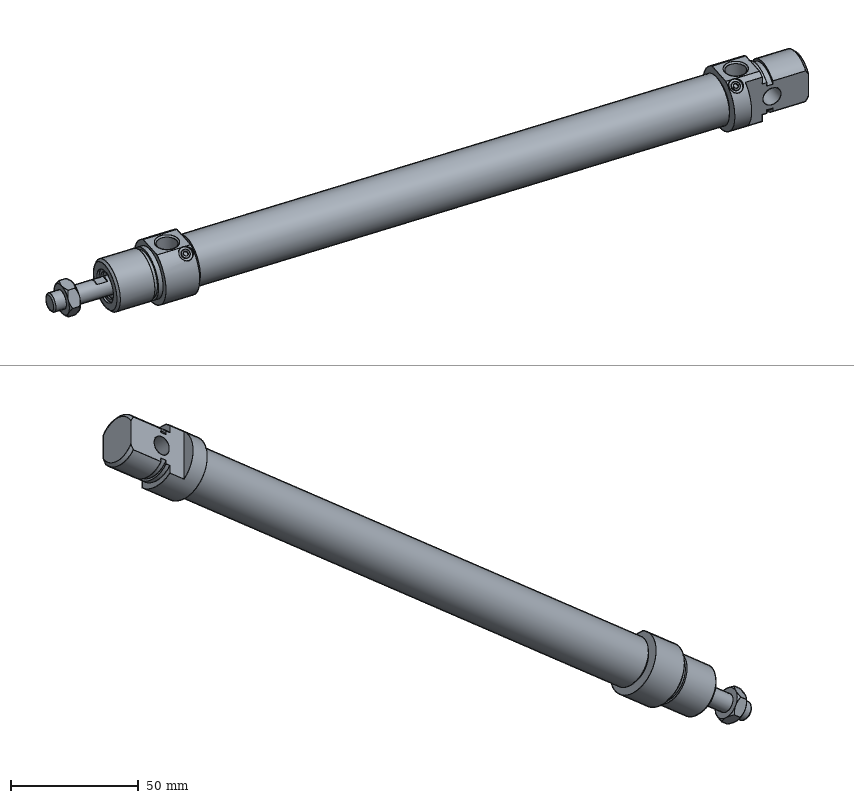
import cadquery as cq
import math


overall_length = 331.2
nut_start = 5.3
nut_thickness = 5.0
wrench_flat_start = 20.0
front_face = 24.5
front_groove_start = 40.7
front_groove_end = 42.5
front_collar_start = 44.5
collar_length = 15.0
front_neck_length = 1.5
rear_neck_length = 1.0
rear_collar_end = 310.5
rear_groove_start = 312.5
rear_groove_end = 315.3
cross_hole_station = 315.0

front_collar_end = front_collar_start + collar_length
barrel_start = front_collar_end + front_neck_length
rear_collar_start = rear_collar_end - collar_length
barrel_end = rear_collar_start - rear_neck_length
front_port_station = front_collar_start + collar_length / 2
rear_port_station = rear_collar_end - collar_length / 2

barrel_diameter = 21.5
thread_diameter = 22.0
groove_diameter = 20.0
neck_diameter = 18.0
collar_diameter = 26.8
front_chamfer = 1.0
rear_chamfer = 1.3

outer_height = 25.5
port_flat_height = outer_height - collar_diameter / 2
port_diameter = 8.5
port_mouth_diameter = 10.0
cavity_diameter = 12.0
front_cavity_start = 49.7
rear_cavity_margin = 0.5

clevis_width = 16.2
cross_hole_diameter = 8.0

rod_diameter = 8.0
rod_sleeve_diameter = 10.0
rod_sleeve_start = 50.7
rod_tip_chamfer = 0.5
rod_wrench_width = 7.0
rod_recess_diameter = 14.0
rod_recess_depth = 1.0
wiper_seat_diameter = 11.3
wiper_seat_depth = 2.0
nut_width_across_flats = 13.0
nut_chamfer = 1.0

screw_tilt = 38.0
screw_inset = 3.3
screw_recess_diameter = 6.0
screw_recess_depth = 1.0
screw_head_diameter = 3.5
screw_head_gap = 0.3
screw_socket_diameter = 2.0


def cylinder(diameter, start, end):
    """Solid cylinder on the Y axis between two stations."""
    return cq.Workplane("XZ", origin=(0, start, 0)).circle(diameter / 2).extrude(start - end)


def cut_port(cap, station):
    """Flat on top of the collar with a port drilled to the axis and countersunk at 45 degrees."""
    flat = cq.Workplane("XY").box(
        collar_diameter, collar_length, collar_diameter, centered=(True, True, False)
    ).translate((0, station, port_flat_height))
    port = cq.Workplane("XY", origin=(0, station, 0)).circle(port_diameter / 2).extrude(collar_diameter)
    mouth_depth = (port_mouth_diameter - port_diameter) / 2
    countersink = (
        cq.Workplane("XY", origin=(0, station, port_flat_height))
        .circle(port_mouth_diameter / 2)
        .extrude(-mouth_depth, taper=45)
    )
    return cap.cut(flat).cut(port).cut(countersink)


def cut_adjusting_screw(cap, station):
    """Ring-shaped recess around a cushioning screw head, tilted beside the port."""
    tilt = math.radians(screw_tilt)
    outward = (math.sin(tilt), 0, math.cos(tilt))
    floor_radius = collar_diameter / 2 - screw_recess_depth
    floor = cq.Plane(
        origin=(floor_radius * outward[0], station, floor_radius * outward[2]),
        xDir=(0, 1, 0),
        normal=outward,
    )
    head_height = screw_recess_depth - screw_head_gap
    recess = cq.Workplane(floor).circle(screw_recess_diameter / 2).extrude(2 * screw_recess_depth)
    head = (
        cq.Workplane(floor)
        .circle(screw_head_diameter / 2)
        .circle(screw_socket_diameter / 2)
        .extrude(head_height)
    )
    return cap.cut(recess.cut(head))


def make_front_cap():
    """Bearing cap: threaded nose, groove, collar with port, and a stepped rod bore."""
    nose = cylinder(thread_diameter, front_face, front_groove_start).faces("<Y").chamfer(front_chamfer)
    cap = (
        nose.union(cylinder(groove_diameter, front_groove_start, front_groove_end))
        .union(cylinder(thread_diameter, front_groove_end, front_collar_start))
        .union(cylinder(collar_diameter, front_collar_start, front_collar_end))
        .union(cylinder(neck_diameter, front_collar_end, barrel_start))
    )
    cap = cut_port(cap, front_port_station)
    cap = cut_adjusting_screw(cap, front_collar_end - screw_inset)
    return (
        cap.cut(cylinder(rod_diameter, front_face, barrel_start))
        .cut(cylinder(rod_recess_diameter, front_face, front_face + rod_recess_depth))
        .cut(cylinder(wiper_seat_diameter, front_face, front_face + wiper_seat_depth))
        .cut(cylinder(cavity_diameter, front_cavity_start, barrel_start))
    )


def make_rear_cap():
    """End cap: collar with port, groove, and a flat-sided clevis with a cross hole."""
    tail = cylinder(thread_diameter, rear_groove_end, overall_length).faces(">Y").chamfer(rear_chamfer)
    cap = (
        tail.union(cylinder(groove_diameter, rear_groove_start, rear_groove_end))
        .union(cylinder(thread_diameter, rear_collar_end, rear_groove_start))
        .union(cylinder(collar_diameter, rear_collar_start, rear_collar_end))
        .union(cylinder(neck_diameter, barrel_end, rear_collar_start))
    )
    cap = cut_port(cap, rear_port_station)
    cap = cut_adjusting_screw(cap, rear_collar_start + screw_inset)

    for side in (-1, 1):
        side_block = cq.Workplane("XY").box(
            collar_diameter, overall_length, 2 * collar_diameter, centered=(True, False, True)
        ).translate((side * (clevis_width + collar_diameter) / 2, rear_port_station, 0))
        cap = cap.cut(side_block)

    cross_hole = (
        cq.Workplane("YZ", origin=(0, cross_hole_station, 0))
        .circle(cross_hole_diameter / 2)
        .extrude(collar_diameter, both=True)
    )
    cavity_end = rear_port_station + port_diameter / 2 + rear_cavity_margin
    return cap.cut(cross_hole).cut(cylinder(cavity_diameter, barrel_end, cavity_end))


def make_barrel():
    """Plain round barrel between the two caps."""
    return cylinder(barrel_diameter, barrel_start, barrel_end)


def make_hex_nut():
    """Hexagon with corners on the X axis and both faces chamfered to a circle."""
    corner_diameter = nut_width_across_flats / math.cos(math.pi / 6)
    nut_end = nut_start + nut_thickness
    hexagon = (
        cq.Workplane("XZ", origin=(0, nut_start, 0))
        .polygon(6, corner_diameter)
        .extrude(-nut_thickness)
    )
    rounding = cylinder(corner_diameter, nut_start, nut_end).faces("<Y or >Y").chamfer(nut_chamfer)
    return hexagon.intersect(rounding)


def make_piston_rod():
    """Rod with its hexagon nut, wrench flats and the thicker sleeve inside the front cap."""
    rod = cylinder(rod_diameter, 0, rod_sleeve_start).faces("<Y").chamfer(rod_tip_chamfer)
    for side in (-1, 1):
        wrench_flat = cq.Workplane("XY").box(
            rod_diameter, front_face - wrench_flat_start, rod_diameter, centered=(True, False, True)
        ).translate((0, wrench_flat_start, side * (rod_wrench_width + rod_diameter) / 2))
        rod = rod.cut(wrench_flat)
    sleeve = cylinder(rod_sleeve_diameter, rod_sleeve_start, barrel_start)
    return rod.union(sleeve).union(make_hex_nut())


front_cap = make_front_cap()
rear_cap = make_rear_cap()
barrel = make_barrel()
piston_rod = make_piston_rod()

result = cq.Compound.makeCompound(
    [front_cap.val(), rear_cap.val(), barrel.val(), piston_rod.val()]
)